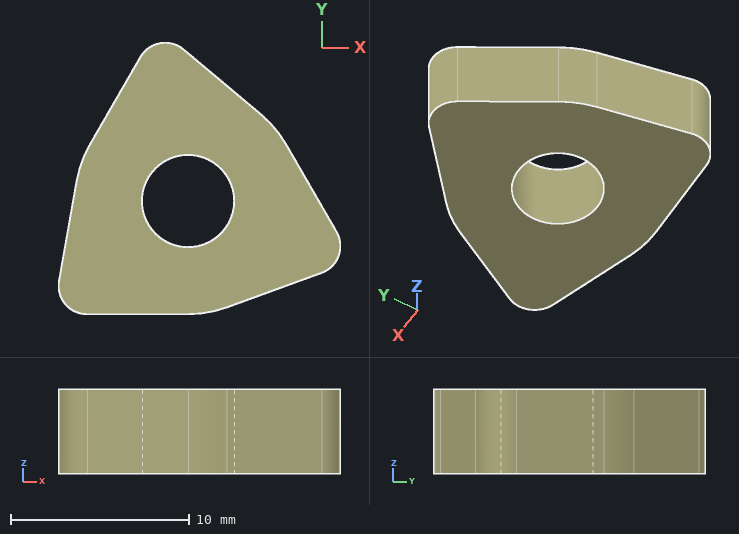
import cadquery as cq
import math

inscribed_radius = 12.7 / 2
thickness = 4.76
hole_diameter = 5.16
nose_radius = 1.6
nose_angle = 80.0
corner_count = 3
first_corner_direction = -140.0

corner_pitch = 360.0 / corner_count
side_normal_offset = 90.0 - nose_angle / 2
nose_center_distance = (inscribed_radius - nose_radius) / math.sin(math.radians(nose_angle / 2))


def polar(radius, direction, center=(0.0, 0.0)):
    """Point at a radius and direction (degrees) from a centre."""
    angle = math.radians(direction)
    return (center[0] + radius * math.cos(angle), center[1] + radius * math.sin(angle))


def add_corner(outline, direction):
    """Side, rounded nose, side, then the inscribed-circle arc that leads to the next corner."""
    side_in = direction - side_normal_offset
    side_out = direction + side_normal_offset
    next_side_in = side_in + corner_pitch
    nose_center = polar(nose_center_distance, direction)
    return (
        outline.lineTo(*polar(nose_radius, side_in, nose_center))
        .threePointArc(
            polar(nose_radius, direction, nose_center),
            polar(nose_radius, side_out, nose_center),
        )
        .lineTo(*polar(inscribed_radius, side_out))
        .threePointArc(
            polar(inscribed_radius, (side_out + next_side_in) / 2),
            polar(inscribed_radius, next_side_in),
        )
    )


def insert_body():
    """Straight-sided insert with its underside on Z = 0."""
    start = polar(inscribed_radius, first_corner_direction - side_normal_offset)
    outline = cq.Workplane("XY").moveTo(*start)
    for index in range(corner_count):
        outline = add_corner(outline, first_corner_direction + index * corner_pitch)
    return outline.close().extrude(thickness)


def clamping_hole():
    """Through hole on the insert axis."""
    return cq.Workplane("XY").circle(hole_diameter / 2).extrude(thickness)


result = insert_body().cut(clamping_hole())